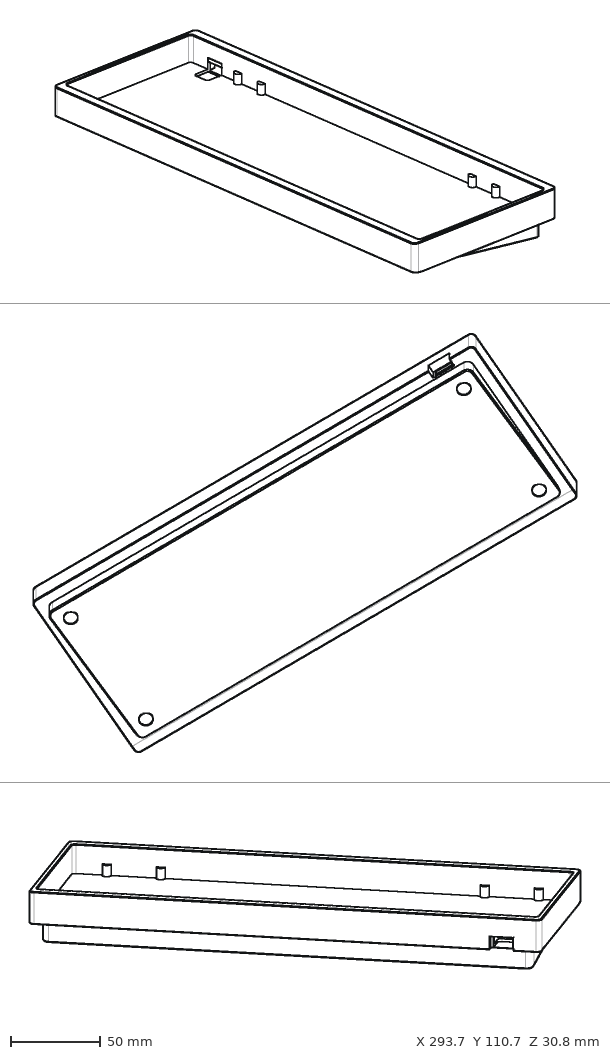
import cadquery as cq
import math

body_length = 293.7
body_width = 110.7
total_height = 30.82
body_height = 19.0
body_corner_radius = 3.0
body_edge_chamfer = 0.5

end_wall = 3.2
long_wall = 6.75
floor_thickness = 1.9
cavity_corner_radius = 2.0
rim_chamfer = 0.5
cavity_length = body_length - 2 * end_wall
cavity_width = body_width - 2 * long_wall
cavity_back = cavity_width / 2

foot_inset = 6.15
foot_edge_chamfer = 0.8
foot_corner_radius = 4.0
foot_root = floor_thickness / 2
foot_drop = total_height - body_height
foot_length = body_length - 2 * foot_inset
foot_width = body_width - 2 * foot_inset
foot_back = foot_width / 2
slope_run = foot_width - foot_edge_chamfer
slope_angle = math.atan2(foot_drop, slope_run)

pad_diameter = 8.0
pad_depth = 1.0
pad_margin = 10.0

key_pitch = 19.05
post_radius = 2.5
post_height = 6.5
post_inset = 0.5
back_post_offsets = (4.5 * key_pitch, 5.5 * key_pitch)
front_post_offsets = (4.875 * key_pitch, 6.5 * key_pitch)

port_x = -124.2
port_width = 11.0
port_reach = 11.0
port_corner_radius = 2.0
port_slot_depth = 1.6
port_recess_top = 7.0
port_recess_depth = 0.3
port_opening_top = 4.5
port_web = 1.8
plug_bay_margin = 1.5
plug_bay_top = port_opening_top + plug_bay_margin
plug_bay_width = port_width + 2 * plug_bay_margin


def slope_height(y):
    """Height of the sloped underside plane, which meets Z = 0 at the front of the foot."""
    return -(y + foot_back) * math.tan(slope_angle)


def sloped_block(length, width, corner_radius, top, edge_chamfer):
    """Rounded block standing on the sloped underside plane, chamfered along its lower edges."""
    back = width / 2
    return (
        cq.Workplane("YZ")
        .moveTo(-back, top)
        .lineTo(-back, slope_height(-back))
        .lineTo(back, slope_height(back))
        .lineTo(back, top)
        .close()
        .extrude(length / 2, both=True)
        .edges("|Z")
        .fillet(corner_radius)
        .faces("<Z")
        .edges()
        .chamfer(edge_chamfer)
    )


def make_body():
    """Block with a flat underside that tilts up, in line with the slope, ahead of the foot."""
    block = (
        cq.Workplane("XY")
        .box(body_length, body_width, body_height, centered=(True, True, False))
        .edges("|Z")
        .fillet(body_corner_radius)
        .faces("<Z or >Z")
        .edges()
        .chamfer(body_edge_chamfer)
    )
    tilted = sloped_block(body_length, body_width, body_corner_radius, body_height, body_edge_chamfer)
    return block.intersect(tilted)


def make_foot():
    """Wedge that deepens from nothing at the front to the full drop at the back."""
    return sloped_block(foot_length, foot_width, foot_corner_radius, foot_root, foot_edge_chamfer)


def make_cavity():
    depth = body_height - floor_thickness
    return (
        cq.Workplane("XY", origin=(0, 0, floor_thickness))
        .box(cavity_length, cavity_width, depth, centered=(True, True, False))
        .edges("|Z")
        .fillet(cavity_corner_radius)
    )


def make_tray():
    """Body hollowed by the cavity, with the inner edge of the rim chamfered."""
    tray = make_body().cut(make_cavity())
    half_x = (body_length - end_wall) / 2
    half_y = (body_width - end_wall) / 2
    inner_rim = cq.selectors.BoxSelector(
        (-half_x, -half_y, body_height - rim_chamfer / 2),
        (half_x, half_y, body_height + rim_chamfer / 2),
    )
    return tray.edges(inner_rim).chamfer(rim_chamfer)


def make_posts():
    points = []
    for side in (-1, 1):
        for offset in back_post_offsets:
            points.append((side * offset, cavity_back - post_inset))
        for offset in front_post_offsets:
            points.append((side * offset, post_inset - cavity_back))
    tray_floor = cq.Workplane("XY", origin=(0, 0, floor_thickness))
    return tray_floor.pushPoints(points).circle(post_radius).extrude(post_height)


def make_pad_recesses():
    underside = cq.Plane(
        origin=(0, -foot_back, 0),
        xDir=(1, 0, 0),
        normal=(0, -math.sin(slope_angle), -math.cos(slope_angle)),
    )
    pad_x = foot_length / 2 - pad_margin
    slope_length = foot_width / math.cos(slope_angle)
    pad_rows = (pad_margin, slope_length - pad_margin)
    points = [(side * pad_x, -along) for side in (-1, 1) for along in pad_rows]
    return cq.Workplane(underside).pushPoints(points).circle(pad_diameter / 2).extrude(-pad_depth)


def port_box(width, front, back, bottom, top):
    """Box centred on the port, placed from the inner wall face in Y and from the floor in Z."""
    return (
        cq.Workplane("XY", origin=(port_x, cavity_back + front, floor_thickness + bottom))
        .box(width, back - front, top - bottom, centered=(True, False, False))
    )


def make_port():
    slot = port_box(port_width, -port_reach, port_web, -port_slot_depth, port_opening_top)
    slot = slot.edges("|Z and <Y").fillet(port_corner_radius)
    recess = port_box(port_width, -port_reach / 2, port_recess_depth, 0, port_recess_top)
    plug_bay = port_box(plug_bay_width, port_web, long_wall, -floor_thickness, plug_bay_top)
    return slot.union(recess).union(plug_bay)


result = (
    make_tray()
    .union(make_posts())
    .union(make_foot())
    .cut(make_pad_recesses())
    .cut(make_port())
)